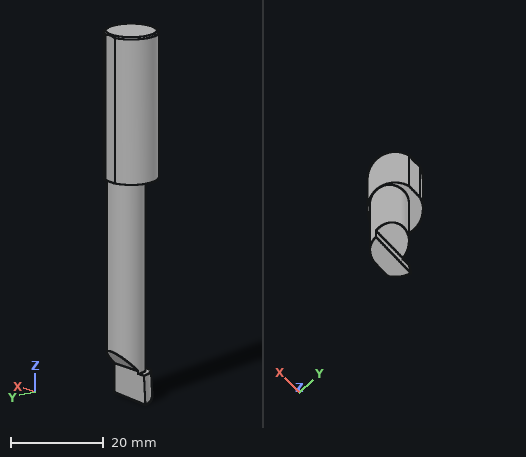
import cadquery as cq
import math

total_height = 83.0
shank_diameter = 12.0
shank_radius = shank_diameter / 2
shank_length = 33.0
shank_bottom = total_height - shank_length
shank_chamfer = 0.4
flat_depth = 0.25

neck_diameter = 8.5
neck_radius = neck_diameter / 2
neck_x = shank_radius - neck_radius

runout_start = 7.05

head_top = 6.5
head_lean = 0.5
edge_x = -4.5
flank_x = -2.8
flank_y = -3.0
flank_angle = 45.0
bottom_slope_x = 2.5
bottom_slope_y = 6.0


def make_shank():
    shank = (
        cq.Workplane("XY", origin=(0, 0, shank_bottom))
        .circle(shank_radius)
        .extrude(shank_length)
        .faces(">Z")
        .chamfer(shank_chamfer)
    )
    flat_cutter = cq.Workplane("XY").box(
        shank_diameter, shank_diameter, total_height, centered=(True, False, False)
    )
    return shank.cut(flat_cutter.translate((0, shank_radius - flat_depth, 0)))


def make_neck():
    neck = cq.Workplane("XY").center(neck_x, 0).circle(neck_radius).extrude(shank_bottom)
    reach = neck_diameter
    half_cutter = (
        cq.Workplane("YZ")
        .polyline([(0, 0), (reach, 0), (reach, runout_start + reach), (0, runout_start)])
        .close()
        .extrude(shank_diameter, both=True)
    )
    return neck.cut(half_cutter)


def head_outline(z, lean):
    """Head section at height z, with its flank moved by lean towards -X."""
    angle = math.radians(flank_angle)
    corner_x = flank_x + (neck_radius + flank_y) / math.tan(angle)
    sketch = (
        cq.Workplane("XY", origin=(0, 0, z))
        .moveTo(neck_x, 0)
        .lineTo(neck_x, -neck_radius)
        .lineTo(corner_x - lean, -neck_radius)
        .lineTo(flank_x - lean, flank_y)
        .tangentArcPoint((edge_x - lean, 0), relative=False)
        .close()
    )
    return sketch.val()


def make_head():
    outlines = [head_outline(0, head_lean), head_outline(head_top, 0)]
    return cq.Workplane(cq.Solid.makeLoft(outlines, True))


def make_bottom_cutter():
    """Block under the sloping end face, whose lowest point is the cutting corner."""
    slope_x = math.tan(math.radians(bottom_slope_x))
    slope_y = math.tan(math.radians(bottom_slope_y))
    end_plane = cq.Plane(
        origin=(edge_x - head_lean, 0, 0),
        xDir=(1, 0, slope_x),
        normal=(-slope_x, slope_y, 1),
    )
    block_size = 4 * shank_diameter
    return cq.Workplane(end_plane).rect(block_size, block_size).extrude(-shank_diameter)


result = make_shank().union(make_neck()).union(make_head()).cut(make_bottom_cutter())